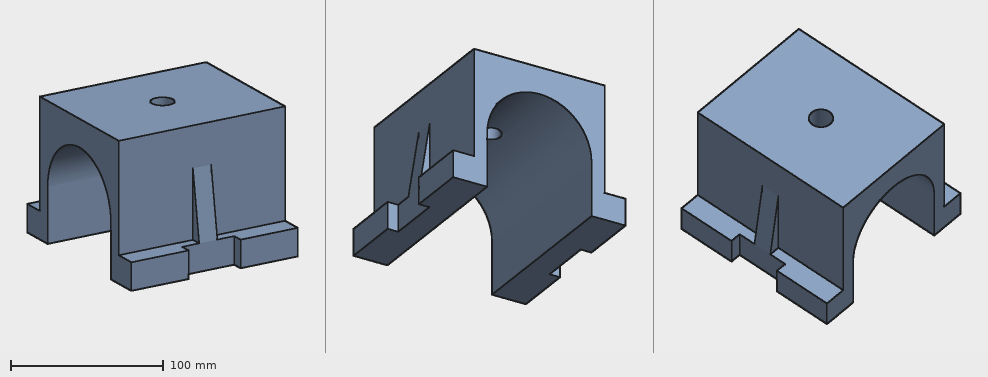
import cadquery as cq

length_x = 132.0
length_y = 128.0
height = 100.0

block_width = 100.0
flange_height = 20.0

tunnel_width = 80.0
tunnel_radius = tunnel_width / 2
crown_thickness = 20.0
spring_height = height - crown_thickness - tunnel_radius

notch_length = 40.0
notch_depth = 8.0
rib_thickness = 14.0
rib_height = 50.0
rib_base = (length_x - block_width) / 2 - notch_depth
hole_diameter = 16.0


def make_body():
    """Central block standing on a wider base that forms the flanges."""
    base = cq.Workplane("XY").box(length_x, length_y, flange_height, centered=(True, True, False))
    block = cq.Workplane("XY").box(block_width, length_y, height, centered=(True, True, False))
    return base.union(block)


def make_tunnel():
    """Straight-sided passage with a semicircular crown."""
    return (
        cq.Workplane("XZ")
        .moveTo(-tunnel_radius, 0)
        .lineTo(-tunnel_radius, spring_height)
        .threePointArc((0, spring_height + tunnel_radius), (tunnel_radius, spring_height))
        .lineTo(tunnel_radius, 0)
        .close()
        .extrude(length_y / 2, both=True)
    )


def make_notch(side):
    """Cutter for the middle of one flange; side is -1 or 1 along X."""
    center_x = side * (length_x - notch_depth) / 2
    return (
        cq.Workplane("XY")
        .center(center_x, 0)
        .rect(notch_depth, notch_length)
        .extrude(flange_height)
    )


def make_rib(side):
    """Triangular rib from the flange up the block wall."""
    wall_x = side * block_width / 2
    return (
        cq.Workplane("XZ")
        .moveTo(wall_x, flange_height)
        .lineTo(wall_x + side * rib_base, flange_height)
        .lineTo(wall_x, flange_height + rib_height)
        .close()
        .extrude(rib_thickness / 2, both=True)
    )


result = make_body().cut(make_tunnel())
for side in (-1, 1):
    result = result.cut(make_notch(side)).union(make_rib(side))

hole = (
    cq.Workplane("XY")
    .workplane(offset=spring_height)
    .circle(hole_diameter / 2)
    .extrude(height - spring_height)
)
result = result.cut(hole)